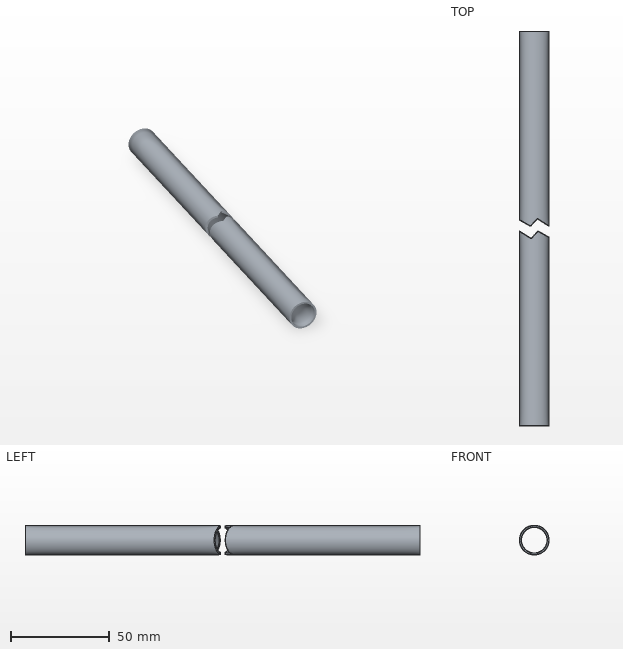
import cadquery as cq

total_length = 200.0
outer_diameter = 15.0
inner_diameter = 13.0

half_length = total_length / 2
outer_radius = outer_diameter / 2

left_end_y = 4.5
valley_x = -1.9
tip_y = 1.25
peak_x = 1.5
peak_y = 5.0

half_count = 2
half_turn = 180.0


def broken_tube_half(turn):
    """Half tube with a zigzag inner end, turned about Z by the given angle."""
    tube = (
        cq.Workplane("XZ", origin=(0, half_length, 0))
        .circle(outer_radius)
        .circle(inner_diameter / 2)
        .extrude(half_length)
    )
    keep = (
        cq.Workplane("XY")
        .moveTo(-outer_diameter, left_end_y)
        .lineTo(-outer_radius, left_end_y)
        .lineTo(valley_x, tip_y)
        .lineTo(peak_x, peak_y)
        .lineTo(outer_radius, tip_y)
        .lineTo(outer_diameter, tip_y)
        .lineTo(outer_diameter, total_length)
        .lineTo(-outer_diameter, total_length)
        .close()
        .extrude(outer_diameter, both=True)
    )
    return tube.intersect(keep).rotate((0, 0, 0), (0, 0, 1), turn)


tube_halves = [broken_tube_half(i * half_turn) for i in range(half_count)]

result = cq.Compound.makeCompound([half.val() for half in tube_halves])